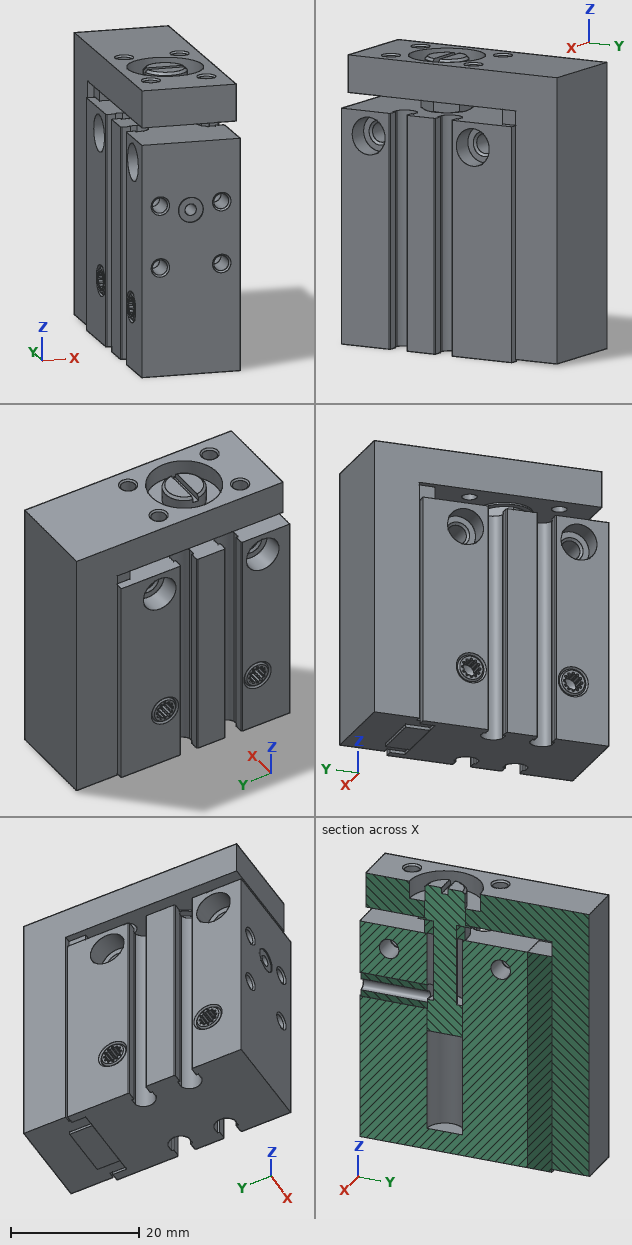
import cadquery as cq
import math


housing_width = 16.0
housing_depth = 31.0
housing_height = 37.5
housing_side = -housing_width / 2
axis_y = 14.45

table_width = 15.3
table_front = 1.0
table_back = 39.0
table_bottom = 0.5
table_top = 46
table_underside = 40
leg_front = 31.5

block_width = 13.2
block_front = 28.5
rail_width = 8.92
rail_back = 32.55

bore_diameter = 6
bore_floor = 3.7
piston_length = 5.5
piston_top = 26.1
rod_diameter = 4.0
flange_diameter = 9.1
flange_thickness = 0.28
stud_diameter = 6.9
stud_top = 45.9
stud_chamfer = 0.4
slot_width = 1.0
slot_depth = 1.0
recess_diameter = 12.0
recess_depth = 3.0

nut_flats = 7.0
nut_corners = nut_flats / math.cos(math.pi / 6)
nut_corner_chamfer = 0.25
nut_height = table_underside - flange_thickness - housing_height

groove_offset = 4.1
groove_neck_width = 2.95
groove_neck_depth = 1.55
groove_mouth_chamfer = 0.2
groove_channel_width = 3.7
groove_channel_depth = 2.75
groove_round_diameter = 4.0
groove_depth = (
    groove_channel_depth
    + groove_round_diameter / 2
    - math.sqrt(groove_round_diameter**2 - groove_channel_width**2) / 2
)

mount_offset = 9.48
mount_height = 33.55
mount_bore = 3.2
mount_thread = 4.0
mount_counterbore = 6
mount_counterbore_depth = 3.5

screw_thread = 3.0
screw_core = 2.45
screw_chamfer = (screw_thread - screw_core) / 2
front_screw_depth = 4.6
front_screw_spacing = 10.0
front_screw_middle = 22.5
table_screw_spacing_x = 9.0
table_screw_spacing_y = 15.0
drill_point_angle = 118

orifice_plug_diameter = 4.0
orifice_diameter = 1.85
orifice_height = 26.5
orifice_plug_inset = 0.2

port_offset = 8.5
port_height = 10.0
port_mouth = 5.0
plug_diameter = 4.4
plug_chamfer = 0.28
plug_length = 3.7
socket_diameter = 2.58
socket_depth = 2.3
flute_diameter = 0.35
flute_circle_diameter = 2.85
flute_count = 12


def box(x_range, y_range, z_range):
    """A block given by its limits along X, Y and Z."""
    lows, highs = zip(x_range, y_range, z_range)
    sizes = [high - low for low, high in zip(lows, highs)]
    return cq.Workplane("XY").box(*sizes, centered=False).translate(lows)


def centred_box(width, y_range, z_range):
    return box((-width / 2, width / 2), y_range, z_range)


def bar(diameter, length, start, direction):
    """A round bar running from a start point along a direction."""
    return cq.Workplane(cq.Solid.makeCylinder(diameter / 2, length, cq.Vector(*start), cq.Vector(*direction)))


def cone(start_diameter, end_diameter, length, start, direction):
    solid = cq.Solid.makeCone(
        start_diameter / 2, end_diameter / 2, length, cq.Vector(*start), cq.Vector(*direction)
    )
    return cq.Workplane(solid)


def upright(diameter, bottom, top):
    """A round bar on the cylinder axis."""
    return bar(diameter, top - bottom, (0, axis_y, bottom), (0, 0, 1))


def drilled_hole(diameter, depth, start, direction):
    """A blind hole with a conical drill point, as a cutting tool."""
    tip = [place + depth * step for place, step in zip(start, direction)]
    point_length = diameter / 2 / math.tan(math.radians(drill_point_angle / 2))
    return bar(diameter, depth, start, direction).union(cone(diameter, 0, point_length, tip, direction))


def sensor_groove(side, y):
    """Cutting tool of a full-height groove in one side: a neck, a wider channel and a round bottom."""
    face = side * housing_width / 2
    chamfer_end = face - side * groove_mouth_chamfer
    neck_end = face - side * groove_neck_depth
    channel_end = face - side * groove_channel_depth
    bottom = face - side * groove_depth
    half_neck = groove_neck_width / 2
    half_mouth = half_neck + groove_mouth_chamfer
    half_channel = groove_channel_width / 2
    return (
        cq.Workplane("XY")
        .moveTo(face, y - half_mouth)
        .lineTo(chamfer_end, y - half_neck)
        .lineTo(neck_end, y - half_neck)
        .lineTo(neck_end, y - half_channel)
        .lineTo(channel_end, y - half_channel)
        .threePointArc((bottom, y), (channel_end, y + half_channel))
        .lineTo(neck_end, y + half_channel)
        .lineTo(neck_end, y + half_neck)
        .lineTo(chamfer_end, y + half_neck)
        .lineTo(face, y + half_mouth)
        .close()
        .extrude(housing_height)
    )


def mount_hole(y):
    """Cutting tool of a cross hole, counterbored and chamfered from both sides."""
    tool = bar(mount_bore, housing_width, (housing_side, y, mount_height), (1, 0, 0))
    chamfer = (mount_thread - mount_bore) / 2
    for side in (-1, 1):
        face = (side * housing_width / 2, y, mount_height)
        seat = (side * (housing_width / 2 - mount_counterbore_depth), y, mount_height)
        inward = (-side, 0, 0)
        tool = tool.union(bar(mount_counterbore, mount_counterbore_depth, face, inward))
        tool = tool.union(cone(mount_thread, mount_bore, chamfer, seat, inward))
    return tool


def front_screw_hole(x, z):
    start = (x, 0, z)
    inward = (0, 1, 0)
    hole = drilled_hole(screw_core, front_screw_depth, start, inward)
    return hole.union(cone(screw_thread, screw_core, screw_chamfer, start, inward))


def table_screw_hole(x, y):
    start = (x, y, table_top)
    down = (0, 0, -1)
    hole = bar(screw_core, table_top - table_underside, start, down)
    return hole.union(cone(screw_thread, screw_core, screw_chamfer, start, down))


def port_seat(y):
    """Cutting tool of a plugged port with a chamfered mouth."""
    start = (housing_side, y, port_height)
    inward = (1, 0, 0)
    chamfer = (port_mouth - plug_diameter) / 2
    seat = bar(plug_diameter, plug_length, start, inward)
    return seat.union(cone(port_mouth, plug_diameter, chamfer, start, inward))


def make_housing():
    body = centred_box(housing_width, (0, housing_depth), (0, housing_height))
    body = body.cut(centred_box(block_width, (block_front, housing_depth), (0, housing_height)))
    body = body.cut(upright(bore_diameter, bore_floor, housing_height))
    body = body.cut(bar(orifice_plug_diameter, axis_y, (0, 0, orifice_height), (0, 1, 0)))
    for direction in (-1, 1):
        body = body.cut(mount_hole(axis_y + direction * mount_offset))
        body = body.cut(port_seat(axis_y + direction * port_offset))
        for side in (-1, 1):
            body = body.cut(sensor_groove(side, axis_y + direction * groove_offset))
            x = side * front_screw_spacing / 2
            body = body.cut(front_screw_hole(x, front_screw_middle + direction * front_screw_spacing / 2))
    return body


def make_table():
    top_plate = centred_box(table_width, (table_front, table_back), (table_underside, table_top))
    leg = centred_box(table_width, (leg_front, table_back), (table_bottom, table_top))
    block = centred_box(block_width, (block_front, leg_front), (table_bottom, table_underside))
    rail_slot = centred_box(rail_width, (block_front, rail_back), (table_bottom, table_underside))
    table = top_plate.union(leg).union(block).cut(rail_slot)
    table = table.cut(upright(recess_diameter, table_top - recess_depth, table_top))
    table = table.cut(upright(stud_diameter, table_underside, table_top))
    for side in (-1, 1):
        for direction in (-1, 1):
            x = side * table_screw_spacing_x / 2
            y = axis_y + direction * table_screw_spacing_y / 2
            table = table.cut(table_screw_hole(x, y))
    return table


def make_rail():
    return centred_box(rail_width, (block_front, rail_back), (0, housing_height))


def make_rod():
    """Piston, rod, flange under the table and slotted stud through the table, all in one."""
    flange_bottom = table_underside - flange_thickness
    stud = upright(stud_diameter, table_underside, stud_top).faces(">Z").chamfer(stud_chamfer)
    slot = box(
        (-stud_diameter / 2, stud_diameter / 2),
        (axis_y - slot_width / 2, axis_y + slot_width / 2),
        (stud_top - slot_depth, stud_top),
    )
    rod = upright(bore_diameter, piston_top - piston_length, piston_top)
    rod = rod.union(upright(rod_diameter, piston_top, flange_bottom))
    rod = rod.union(upright(flange_diameter, flange_bottom, table_underside))
    return rod.union(stud.cut(slot))


def make_nut():
    """Hexagon nut with two corners along X and its corners chamfered at both ends."""
    hexagon = cq.Workplane("XY").polygon(6, nut_corners).extrude(nut_height)
    corner_rounding = (
        cq.Workplane("XZ")
        .moveTo(0, 0)
        .lineTo(nut_flats / 2, 0)
        .lineTo(nut_corners / 2, nut_corner_chamfer)
        .lineTo(nut_corners / 2, nut_height - nut_corner_chamfer)
        .lineTo(nut_flats / 2, nut_height)
        .lineTo(0, nut_height)
        .close()
        .revolve(360, (0, 0, 0), (0, 1, 0))
    )
    nut = hexagon.intersect(corner_rounding).translate((0, axis_y, housing_height))
    return nut.cut(upright(rod_diameter, housing_height, table_underside))


def make_orifice_plug():
    """Plug whose inner end follows the bore wall, with an orifice along it."""
    start = (0, orifice_plug_inset, orifice_height)
    inward = (0, 1, 0)
    length = axis_y - orifice_plug_inset
    plug = bar(orifice_plug_diameter, length, start, inward)
    plug = plug.cut(upright(bore_diameter, bore_floor, housing_height))
    return plug.cut(bar(orifice_diameter, length, start, inward))


def make_port_plug(y):
    start = (housing_side, y, port_height)
    inward = (1, 0, 0)
    plug = bar(plug_diameter, plug_length, start, inward).faces("<X").chamfer(plug_chamfer)
    plug = plug.cut(drilled_hole(socket_diameter, socket_depth, start, inward))
    for index in range(flute_count):
        angle = 2 * math.pi * index / flute_count
        flute_y = y + flute_circle_diameter / 2 * math.cos(angle)
        flute_z = port_height + flute_circle_diameter / 2 * math.sin(angle)
        plug = plug.cut(bar(flute_diameter, socket_depth, (housing_side, flute_y, flute_z), inward))
    return plug


housing = make_housing()
table = make_table()
rail = make_rail()
rod = make_rod()
nut = make_nut()
orifice_plug = make_orifice_plug()
port_plugs = [make_port_plug(axis_y + direction * port_offset) for direction in (-1, 1)]

result = cq.Compound.makeCompound(
    [
        housing.val(),
        table.val(),
        rail.val(),
        rod.val(),
        nut.val(),
        orifice_plug.val(),
        *[plug.val() for plug in port_plugs],
    ]
)